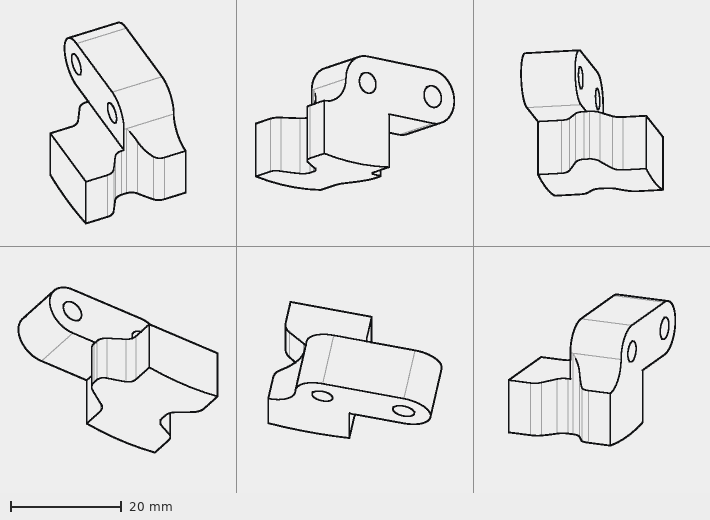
import cadquery as cq
import math

length = 30.0
lug_radius = length / 6
lug_height = 2 * lug_radius
lug_depth = 2 * lug_radius
block_depth = 2 * lug_depth
left_hole_diameter = 4.0
right_hole_diameter = 3.8

left_hole_x = lug_radius
right_hole_x = 4 * lug_radius
lug_right = right_hole_x + lug_radius

step = lug_radius
block_width = length / 2
block_height = 10.5
sole_radius = 10 * lug_radius
slope_angle = math.radians(30)
step_half_width = 1.65
corner_radius = 0.4 * lug_radius
middle_y = block_depth / 2
slope_run = step * math.tan(slope_angle)


def extrude_along_y(profile, start, end):
    """Extrude an XZ profile between two Y positions."""
    return profile.extrude(start - end).translate((0, start, 0))


def stepped_side(x):
    """Corners of a stepped side with its outer face at x, from front to back."""
    outer_offset = step_half_width + slope_run
    return [
        (x, 0),
        (x, middle_y - outer_offset),
        (x - step, middle_y - step_half_width),
        (x - step, middle_y + step_half_width),
        (x, middle_y + outer_offset),
        (x, block_depth),
    ]


def make_lug():
    """Round-ended lug bored by two through holes."""
    centre_x = (left_hole_x + right_hole_x) / 2
    profile = (
        cq.Workplane("XZ")
        .center(centre_x, lug_radius)
        .slot2D(lug_right, lug_height)
    )
    lug = extrude_along_y(profile, middle_y, block_depth)
    for x, diameter in ((left_hole_x, left_hole_diameter), (right_hole_x, right_hole_diameter)):
        hole = cq.Workplane("XZ").center(x, lug_radius).circle(diameter / 2)
        lug = lug.cut(extrude_along_y(hole, middle_y, block_depth))
    return lug


def make_stepped_prism():
    """Upright prism with rounded stepped sides, reaching past the sole and web."""
    outline = stepped_side(length - block_width) + stepped_side(length)[::-1]
    prism = (
        cq.Workplane("XY", origin=(0, 0, -block_height))
        .polyline(outline)
        .close()
        .extrude(block_height + lug_height)
    )
    side_corners = prism.edges("|Z").edges(
        cq.selectors.BoxSelector((0, 0.3, -length), (length + 0.3, block_depth - 0.3, length))
    )
    return side_corners.fillet(corner_radius)


def make_block_body():
    """Full-depth body with a convex cylindrical sole."""
    left = length - block_width - step
    sole_x = length - block_width / 2
    sole_centre_z = sole_radius - block_height

    def sole_z(x):
        return sole_centre_z - math.sqrt(sole_radius**2 - (x - sole_x) ** 2)

    profile = (
        cq.Workplane("XZ")
        .moveTo(left, 0)
        .lineTo(left, sole_z(left))
        .threePointArc((sole_x, -block_height), (length, sole_z(length)))
        .lineTo(length, 0)
        .close()
    )
    return extrude_along_y(profile, 0, block_depth)


def make_web():
    """Concave web between the right end of the lug and the block top."""
    arc_inset = lug_radius * (1 - math.sqrt(0.5))
    profile = (
        cq.Workplane("XZ")
        .moveTo(right_hole_x, 0)
        .lineTo(length, 0)
        .threePointArc((lug_right + arc_inset, arc_inset), (lug_right, lug_radius))
        .threePointArc(
            (lug_right - arc_inset, arc_inset),
            (right_hole_x, 0),
        )
        .close()
    )
    return extrude_along_y(profile, middle_y, block_depth)


stepped_prism = make_stepped_prism()
block = make_block_body().intersect(stepped_prism)
web = make_web().intersect(stepped_prism)
result = block.union(make_lug()).union(web)